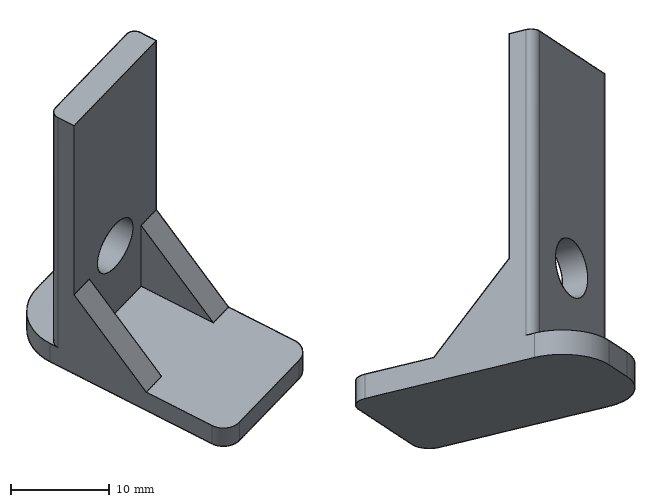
import cadquery as cq

length = 27.75
width = 14.65
height = 36.7

base_thickness = 2.7
front_corner_radius = 5.55
rear_corner_radius = 2.02

wall_front = 5.55
wall_thickness = 3.0
wall_edge_radius = 1.0
wall_rear = wall_front + wall_thickness

hole_diameter = 6.3
hole_height = 12.65

gusset_leg = 9.0
gusset_thickness = 2.7


def base_plate():
    plate = cq.Workplane("XY").box(length, width, base_thickness, centered=(False, True, False))
    plate = plate.edges("|Z and <X").fillet(front_corner_radius)
    return plate.edges("|Z and >X").fillet(rear_corner_radius)


def upright_wall():
    wall = (
        cq.Workplane("XY")
        .box(wall_thickness, width, height - base_thickness, centered=(False, True, False))
        .edges("|Z and <X")
        .fillet(wall_edge_radius)
        .translate((wall_front, 0, base_thickness))
    )
    hole = (
        cq.Workplane("YZ", origin=(wall_front, 0, hole_height))
        .circle(hole_diameter / 2)
        .extrude(wall_thickness)
    )
    return wall.cut(hole)


def gusset(outer_y):
    """Gusset between wall and base, its near face lying in the plane Y = outer_y."""
    return (
        cq.Workplane("XZ", origin=(wall_rear, outer_y, base_thickness))
        .polyline([(0, 0), (gusset_leg, 0), (0, gusset_leg)])
        .close()
        .extrude(-gusset_thickness)
    )


result = base_plate().union(upright_wall())
for gusset_start in (-width / 2, width / 2 - gusset_thickness):
    result = result.union(gusset(gusset_start))
result = result.clean()